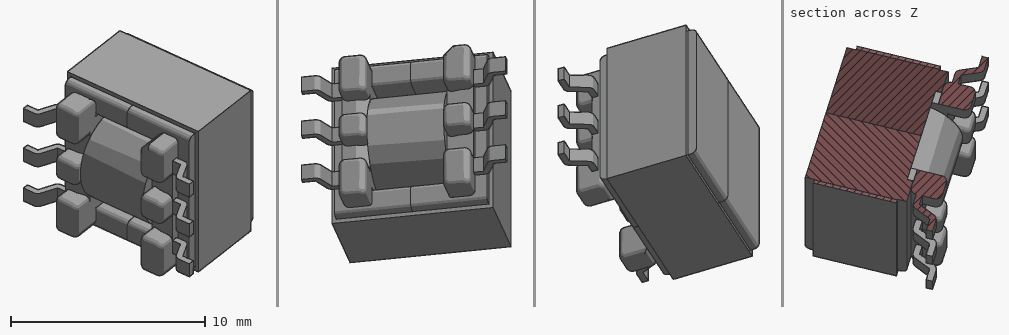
import cadquery as cq
import math


CORE_LENGTH_X = 8.03
CORE_DEPTH_Y = 5.44
CORE_HEIGHT_Z = 8.58
EDGE_RADIUS = 0.34
COIL_AXIS_Y = -1.46
CAVITY_RADIUS = 2.95
POST_RADIUS = 1.08

TAPE_THICKNESS = 0.23
TAPE_DEPTH_Y = 4.45

WINDING_RADIUS = 2.57
BARREL_RADIUS = 1.29

FLANGE_INNER_X = 2.02
FLANGE_THICKNESS = 0.7
RAIL_OUTER_X = 3.47
RAIL_HEIGHT_Z = 8.19
RAIL_THICKNESS = 0.68
RAIL_SLOPE_DROP = 0.17
FOOT_PROJECTION = 0.99
END_FOOT_LENGTH = 2.2
MIDDLE_FOOT_LENGTH = 1.46
PIN_ONE_CHAMFER = 0.53

LEAD_PITCH = 2.56
LEAD_WIDTH = 0.84
LEAD_THICKNESS = 0.34
LEAD_SPAN_X = 10.75
LEAD_RISE = 1.08
LEAD_ANGLE = 65.0
LEAD_BEND_X = 3.98

CORE_FRONT_Y = -CORE_DEPTH_Y / 2
RAIL_FRONT_Y = CORE_FRONT_Y - RAIL_THICKNESS
FOOT_FRONT_Y = RAIL_FRONT_Y - FOOT_PROJECTION
FLANGE_OUTER_X = FLANGE_INNER_X + FLANGE_THICKNESS


def box_between(x_min, x_max, y_min, y_max, z_min, z_max):
    size = (x_max - x_min, y_max - y_min, z_max - z_min)
    return cq.Workplane("XY").box(*size, centered=False).translate((x_min, y_min, z_min))


def rod_along_x(radius, x_min, x_max):
    """Cylinder around the coil axis."""
    plane = cq.Workplane("YZ", origin=(x_min, COIL_AXIS_Y, 0))
    return plane.circle(radius).extrude(x_max - x_min)


def cavity_prism(x_min, x_max):
    """Round behind the coil axis, straight-sided from there to the front of the core."""
    return (
        cq.Workplane("YZ", origin=(x_min, 0, 0))
        .moveTo(CORE_FRONT_Y, -CAVITY_RADIUS)
        .lineTo(COIL_AXIS_Y, -CAVITY_RADIUS)
        .threePointArc((COIL_AXIS_Y + CAVITY_RADIUS, 0), (COIL_AXIS_Y, CAVITY_RADIUS))
        .lineTo(CORE_FRONT_Y, CAVITY_RADIUS)
        .close()
        .extrude(x_max - x_min)
    )



def make_core_half(side):
    """End wall, surrounding cup with a rounded mouth, and round centre post."""
    half_length = CORE_LENGTH_X / 2
    outline = cq.Workplane("YZ").rect(CORE_DEPTH_Y, CORE_HEIGHT_Z)
    block = outline.extrude(half_length).edges("|X").fillet(EDGE_RADIUS)
    cup = block.cut(cavity_prism(0, FLANGE_OUTER_X))
    mouth_edges = cup.edges(
        cq.selectors.BoxSelector(
            (0, CORE_FRONT_Y - EDGE_RADIUS, -CAVITY_RADIUS - EDGE_RADIUS),
            (CORE_LENGTH_X / 4, CORE_FRONT_Y + EDGE_RADIUS, CAVITY_RADIUS + EDGE_RADIUS),
        )
    )
    cup = mouth_edges.edges("|X").fillet(EDGE_RADIUS)
    half = cup.union(rod_along_x(POST_RADIUS, 0, half_length))
    return half if side > 0 else half.mirror("YZ")



def make_tape():
    outside = cq.Workplane("XY").box(
        CORE_LENGTH_X + 2 * TAPE_THICKNESS, TAPE_DEPTH_Y, CORE_HEIGHT_Z + 2 * TAPE_THICKNESS
    )
    return outside.cut(cq.Workplane("XY").box(CORE_LENGTH_X, TAPE_DEPTH_Y, CORE_HEIGHT_Z))



def make_winding():
    coil = rod_along_x(WINDING_RADIUS, -FLANGE_INNER_X, FLANGE_INNER_X)
    return coil.cut(rod_along_x(BARREL_RADIUS, -FLANGE_INNER_X, FLANGE_INNER_X))



def bobbin_block(y_min, y_max, z_min, z_max):
    """Box as wide as the rail."""
    return box_between(FLANGE_INNER_X, RAIL_OUTER_X, y_min, y_max, z_min, z_max)


def shape_corners(block, marks_pin_one):
    """Round the corners along Y; the pin one corner, inside at the top, is chamfered instead."""
    if not marks_pin_one:
        return block.edges("|Y").fillet(EDGE_RADIUS)
    chamfered = block.edges("|Y and <X and >Z").chamfer(PIN_ONE_CHAMFER)
    return chamfered.edges("|Y and (>X or <Z)").fillet(EDGE_RADIUS)


def make_rail(marks_pin_one):
    """Rail whose back edges are round, except along the flange."""
    block = bobbin_block(RAIL_FRONT_Y, CORE_FRONT_Y, -RAIL_HEIGHT_Z / 2, RAIL_HEIGHT_Z / 2)
    round_backed = block.edges("|Y and >X").fillet(EDGE_RADIUS)
    round_backed = round_backed.faces(">Y").edges("not <X").fillet(EDGE_RADIUS)
    return round_backed.intersect(shape_corners(block, marks_pin_one))


def rail_slope_cutter():
    """Wedge that makes the inner part of the rail front fall back towards the winding."""
    return (
        cq.Workplane("XY", origin=(0, 0, -RAIL_HEIGHT_Z / 2))
        .moveTo(FLANGE_OUTER_X, RAIL_FRONT_Y)
        .lineTo(FLANGE_INNER_X, RAIL_FRONT_Y)
        .lineTo(FLANGE_INNER_X, RAIL_FRONT_Y + RAIL_SLOPE_DROP)
        .close()
        .extrude(RAIL_HEIGHT_Z)
    )


def make_foot(centre_z, length, marks_pin_one=False):
    block = bobbin_block(
        FOOT_FRONT_Y,
        RAIL_FRONT_Y + RAIL_SLOPE_DROP,
        centre_z - length / 2,
        centre_z + length / 2,
    )
    return shape_corners(block, marks_pin_one).faces("<Y").edges().fillet(EDGE_RADIUS)


def make_lead(centre_z):
    """Gull-wing strip whose bends are sharp inside and round outside."""
    angle = math.radians(LEAD_ANGLE)
    back_y = RAIL_FRONT_Y + LEAD_THICKNESS
    toe_back_y = back_y - LEAD_RISE
    toe_front_y = RAIL_FRONT_Y - LEAD_RISE
    slope_length = (LEAD_RISE - LEAD_THICKNESS + LEAD_THICKNESS * math.cos(angle)) / math.sin(angle)
    toe_bend_x = LEAD_BEND_X + LEAD_THICKNESS * math.sin(angle) + slope_length * math.cos(angle)

    def around(x, y, direction):
        """Point one lead thickness from a bend's inside corner; direction runs from +Y to +X."""
        return (x + LEAD_THICKNESS * math.sin(direction), y + LEAD_THICKNESS * math.cos(direction))

    profile = (
        cq.Workplane("XY", origin=(0, 0, centre_z - LEAD_WIDTH / 2))
        .moveTo(FLANGE_OUTER_X, RAIL_FRONT_Y)
        .lineTo(LEAD_BEND_X, RAIL_FRONT_Y)
        .lineTo(*around(toe_bend_x, toe_back_y, angle + math.pi))
        .threePointArc(
            around(toe_bend_x, toe_back_y, angle / 2 + math.pi),
            (toe_bend_x, toe_front_y),
        )
        .lineTo(LEAD_SPAN_X / 2, toe_front_y)
        .lineTo(LEAD_SPAN_X / 2, toe_back_y)
        .lineTo(toe_bend_x, toe_back_y)
        .lineTo(*around(LEAD_BEND_X, RAIL_FRONT_Y, angle))
        .threePointArc(
            around(LEAD_BEND_X, RAIL_FRONT_Y, angle / 2),
            (LEAD_BEND_X, back_y),
        )
        .lineTo(FLANGE_OUTER_X, back_y)
        .close()
    )
    return profile.extrude(LEAD_WIDTH)


def make_bobbin_side(marks_pin_one):
    """Flange, rail, feet and leads of one end, built on the +X side."""
    end_foot_z = (RAIL_HEIGHT_Z - END_FOOT_LENGTH) / 2
    side = make_rail(marks_pin_one).cut(rail_slope_cutter())
    side = side.union(cavity_prism(FLANGE_INNER_X, FLANGE_OUTER_X))
    side = side.union(make_foot(-end_foot_z, END_FOOT_LENGTH))
    side = side.union(make_foot(0, MIDDLE_FOOT_LENGTH))
    side = side.union(make_foot(end_foot_z, END_FOOT_LENGTH, marks_pin_one))
    for row in (-1, 0, 1):
        side = side.union(make_lead(row * LEAD_PITCH))
    return side


def make_bobbin():
    bobbin = rod_along_x(BARREL_RADIUS, -FLANGE_OUTER_X, FLANGE_OUTER_X)
    bobbin = bobbin.union(make_bobbin_side(marks_pin_one=True))
    bobbin = bobbin.union(make_bobbin_side(marks_pin_one=False).mirror("YZ"))
    return bobbin.cut(rod_along_x(POST_RADIUS, -FLANGE_OUTER_X, FLANGE_OUTER_X))


tape = make_tape()
core_halves = [make_core_half(side) for side in (-1, 1)]
winding = make_winding()
bobbin = make_bobbin()

result = cq.Compound.makeCompound(
    [tape.val(), *[half.val() for half in core_halves], winding.val(), bobbin.val()]
)